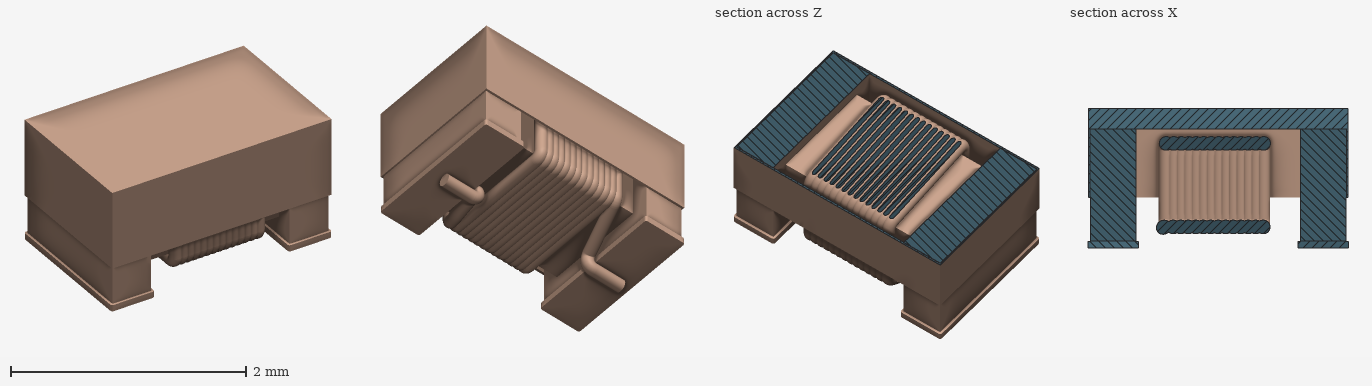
import cadquery as cq
import math


plate_span = 2.22
plate_width = 1.39
plate_length = 0.435
plate_thickness = 0.062
plate_corner_radius = 0.022
plate_rim = 0.022
plate_inner_y = plate_span / 2 - plate_length

wire_diameter = 0.12
wire_radius = wire_diameter / 2
bend_radius = 0.062
lead_end_y = 0.983

core_length = plate_span - 2 * plate_rim
core_width = plate_width - 2 * plate_rim
core_bottom = plate_thickness
flange_thickness = plate_length - 2 * plate_rim
leg_width = 1.0
leg_bottom = 0.245
flange_step = leg_bottom - core_bottom

cap_length = 2.207
cap_width = plate_width
cap_bottom = 0.43
cap_top = 1.19
cap_roof = 0.178

core_top = cap_top - cap_roof
leg_top = core_top - flange_step

turn_count = 14
strand_row_length = 0.828
turn_pitch = strand_row_length / (turn_count - 1)
strand_x = leg_width / 2 + bend_radius
first_strand_y = turn_count * turn_pitch / 2


def block(width, length, bottom, top):
    """A box centred on the Z axis, between two heights."""
    return cq.Workplane("XY").workplane(offset=bottom).rect(width, length).extrude(top - bottom)


def make_plate(side):
    """Terminal plate under the flange on the +Y (side = 1) or -Y (side = -1) end."""
    plate = block(plate_width, plate_length, 0, plate_thickness)
    plate = plate.edges("|Z").fillet(plate_corner_radius)
    return plate.translate((0, side * (plate_span - plate_length) / 2, 0))


def make_core():
    """Two flanges joined by a narrower leg."""
    core = block(leg_width, core_length, leg_bottom, leg_top)
    for side in (1, -1):
        flange = block(core_width, flange_thickness, core_bottom, core_top)
        core = core.union(flange.translate((0, side * (core_length - flange_thickness) / 2, 0)))
    return core


def make_cap():
    """Hollow cap, open below, fitting closely over the upper part of the core."""
    cap = block(cap_width, cap_length, cap_bottom, cap_top)
    return cap.cut(block(core_width, core_length, cap_bottom, core_top))


def sweep_wire(path, start, direction):
    """Round wire along a path that leaves the start point in the given direction."""
    start_plane = cq.Plane(origin=start, normal=direction)
    return cq.Workplane(start_plane).circle(wire_radius).sweep(path).val()


def upright_plane(start, end):
    """Plane through two points with its Y axis vertical and its X axis from start towards end."""
    across = cq.Vector(end[0] - start[0], end[1] - start[1], 0)
    return cq.Plane(origin=(start[0], start[1], 0), xDir=across, normal=across.cross(cq.Vector(0, 0, 1)))


def plan_distance(start, end):
    """Distance between two points seen along Z."""
    return math.hypot(end[0] - start[0], end[1] - start[1])


def make_top_turn(start, end):
    """Up one side of the leg, across its top and down the other side."""
    span = plan_distance(start, end)
    path = (
        cq.Workplane(upright_plane(start, end))
        .moveTo(0, leg_bottom)
        .lineTo(0, leg_top)
        .tangentArcPoint((bend_radius, leg_top + bend_radius), relative=False)
        .lineTo(span - bend_radius, leg_top + bend_radius)
        .tangentArcPoint((span, leg_top), relative=False)
        .lineTo(span, leg_bottom)
    )
    return sweep_wire(path, (start[0], start[1], leg_bottom), (0, 0, 1))


def make_bottom_run(y):
    """Straight across beneath the leg, turning up at both ends."""
    run_z = leg_bottom - bend_radius
    path = (
        cq.Workplane("XZ", origin=(0, y, 0))
        .moveTo(-strand_x, leg_bottom)
        .radiusArc((-strand_x + bend_radius, run_z), -bend_radius)
        .lineTo(strand_x - bend_radius, run_z)
        .radiusArc((strand_x, leg_bottom), -bend_radius)
    )
    return sweep_wire(path, (-strand_x, y, leg_bottom), (0, 0, -1))


def make_lead():
    """From the outermost +X strand, slanting in to the middle and out beneath the +Y plate."""
    foot_z = -wire_radius
    riser_y = plate_inner_y - bend_radius
    riser_top = foot_z + bend_radius
    strand = (strand_x, first_strand_y)
    riser = (0, riser_y)

    span = plan_distance(strand, riser)
    drop = leg_bottom - riser_top
    centre_gap = math.hypot(span - 2 * bend_radius, drop)
    bend_angle = math.atan2(span - 2 * bend_radius, drop) + math.asin(2 * bend_radius / centre_gap)
    bend_across = bend_radius * (1 - math.cos(bend_angle))
    bend_down = bend_radius * math.sin(bend_angle)
    slant = (
        cq.Workplane(upright_plane(strand, riser))
        .moveTo(0, leg_bottom)
        .radiusArc((bend_across, leg_bottom - bend_down), -bend_radius)
        .lineTo(span - bend_across, riser_top + bend_down)
        .radiusArc((span, riser_top), bend_radius)
    )
    foot = (
        cq.Workplane("YZ")
        .moveTo(riser_y, riser_top)
        .radiusArc((plate_inner_y, foot_z), -bend_radius)
        .lineTo(lead_end_y, foot_z)
    )
    slant_wire = sweep_wire(slant, (*strand, leg_bottom), (0, 0, -1))
    foot_wire = sweep_wire(foot, (*riser, riser_top), (0, 0, -1))
    return slant_wire.fuse(foot_wire)


def make_wire():
    """The whole winding with both leads, as one solid."""
    top_turns = []
    bottom_runs = []
    for turn in range(turn_count):
        start_y = first_strand_y - turn * turn_pitch
        end_y = start_y - turn_pitch
        top_turns.append(make_top_turn((strand_x, start_y), (-strand_x, end_y)))
        if turn < turn_count - 1:
            bottom_runs.append(make_bottom_run(end_y))
    upper_half = top_turns[0].fuse(*top_turns[1:])
    lower_half = bottom_runs[0].fuse(*bottom_runs[1:])
    winding = upper_half.fuse(lower_half)

    lead = make_lead()
    opposite_lead = lead.rotate(cq.Vector(0, 0, 0), cq.Vector(0, 0, 1), 180)
    return cq.Workplane(winding.fuse(lead).fuse(opposite_lead).Solids()[0])


plates = [make_plate(side) for side in (1, -1)]
core = make_core()
cap = make_cap()
wire = make_wire()

result = cq.Compound.makeCompound([cap.val(), core.val(), wire.val(), *[plate.val() for plate in plates]])